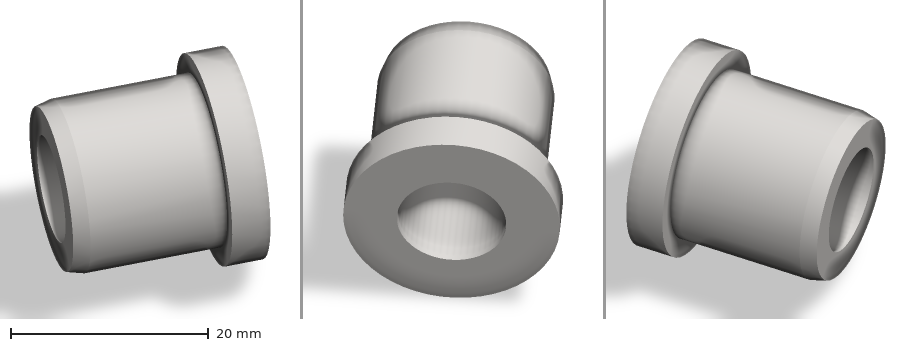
import cadquery as cq
import math

flange_diameter = 22.0
flange_thickness = 4.0
body_diameter = 18.0
total_length = 20.0
bore_diameter = 11.1

taper_length = 1.7
taper_angle = 15.0
taper_depth = taper_length * math.tan(math.radians(taper_angle))

bore_radius = bore_diameter / 2
body_radius = body_diameter / 2
flange_radius = flange_diameter / 2
shoulder_y = total_length - flange_thickness

half_section = (
    cq.Workplane("XY")
    .moveTo(bore_radius, 0)
    .lineTo(body_radius - taper_depth, 0)
    .lineTo(body_radius, taper_length)
    .lineTo(body_radius, shoulder_y)
    .lineTo(flange_radius, shoulder_y)
    .lineTo(flange_radius, total_length)
    .lineTo(bore_radius, total_length)
    .close()
)

result = half_section.revolve(360, (0, 0, 0), (0, 1, 0))